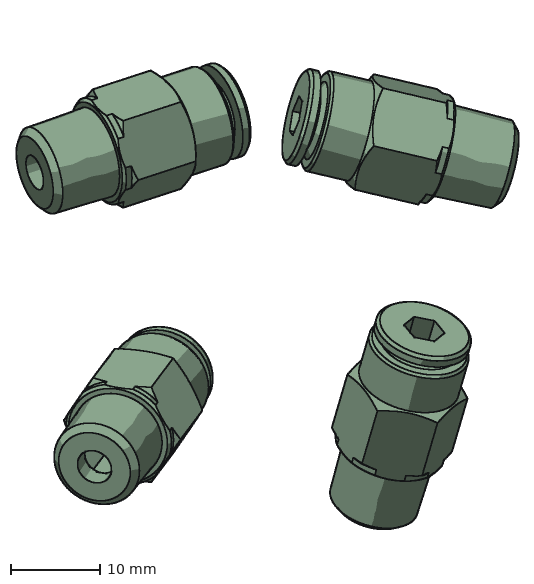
import cadquery as cq
import math

length = 24.85
hex_across_flats = 12.0
hex_across_corners = hex_across_flats / math.cos(math.pi / 6)
corner_radius = hex_across_corners / 2
corner_slope = math.tan(math.pi / 6)

stud_tip_radius = 4.25
stud_small_radius = 5.07
stud_large_radius = 5.25
stud_chamfer_length = 0.77

nut_bottom = 7.95
land_chamfer_length = 0.3
land_face_radius = 5.85
land_radius = 6.23
land_top = 9.0
nut_top = 17.46

body_radius = 5.76
body_top = 22.5
body_chamfer = 0.3

flare_radius = 4.47
neck_radius = 3.58
neck_bottom = 23.03
neck_top = 23.37
neck_top_flare = 0.1
flange_radius = 5.5
flange_bottom = 23.62
flange_chamfer = 0.37

bore_radius = 2.0
passage_across_corners = 4.67
passage_start = 2.5


def revolve_about_y(points):
    """Revolve a closed (radius, Y) outline about the Y axis."""
    return cq.Workplane("XY").polyline(points).close().revolve(360, (0, 0, 0), (0, 1, 0))


def make_stud():
    return revolve_about_y([
        (0, 0),
        (stud_tip_radius, 0),
        (stud_small_radius, stud_chamfer_length),
        (stud_large_radius, nut_bottom),
        (0, nut_bottom),
    ])


def make_nut():
    """Hex prism trimmed by the corner cones and the round land."""
    prism = (
        cq.Workplane("XZ", origin=(0, nut_bottom, 0))
        .polygon(6, hex_across_corners)
        .extrude(nut_bottom - nut_top)
    )
    envelope = revolve_about_y([
        (0, nut_bottom),
        (land_face_radius, nut_bottom),
        (land_radius, nut_bottom + land_chamfer_length),
        (land_radius, land_top),
        (corner_radius, land_top + (corner_radius - land_radius) * corner_slope),
        (corner_radius, nut_top - (corner_radius - body_radius) * corner_slope),
        (body_radius, nut_top),
        (0, nut_top),
    ])
    return prism.intersect(envelope)


def make_body_and_sleeve():
    return revolve_about_y([
        (0, nut_top),
        (body_radius, nut_top),
        (body_radius, body_top - body_chamfer),
        (body_radius - body_chamfer, body_top),
        (flare_radius, body_top),
        (neck_radius, neck_bottom),
        (neck_radius, neck_top),
        (neck_radius + neck_top_flare, flange_bottom),
        (flange_radius, flange_bottom),
        (flange_radius, length - flange_chamfer),
        (flange_radius - flange_chamfer, length),
        (0, length),
    ])


def make_passage():
    bore = cq.Workplane("XZ").circle(bore_radius).extrude(-length)
    hex_passage = (
        cq.Workplane("XZ", origin=(0, passage_start, 0))
        .polygon(6, passage_across_corners)
        .extrude(passage_start - length)
    )
    return bore.union(hex_passage)


result = make_stud().union(make_nut()).union(make_body_and_sleeve()).cut(make_passage())